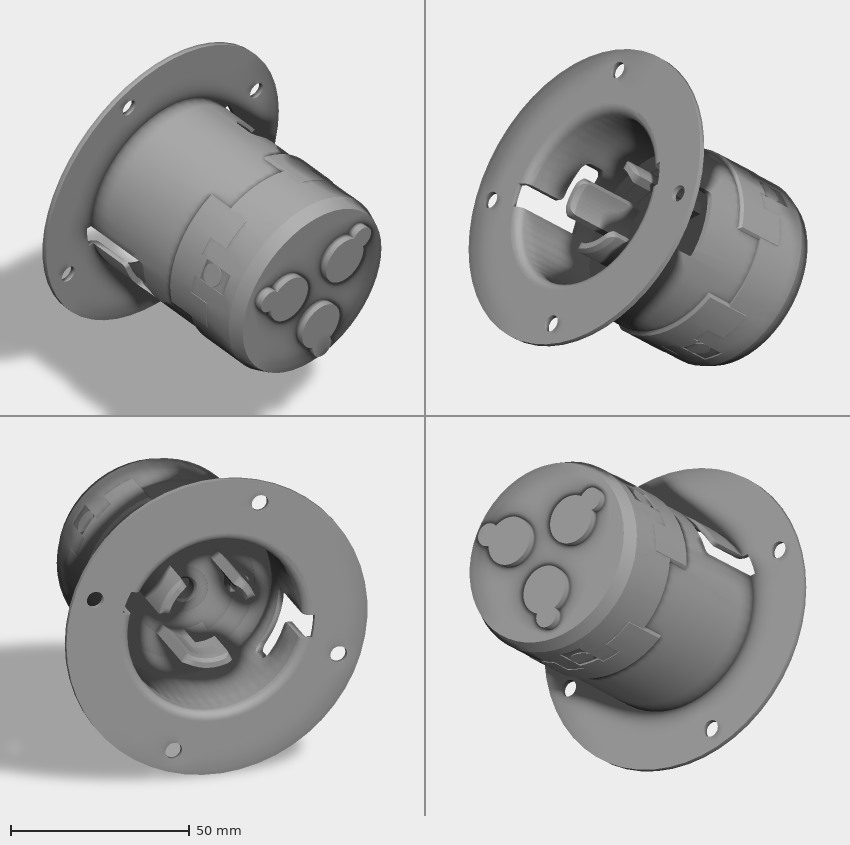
import cadquery as cq
import math


flange_dia = 88.75
flange_thickness = 1.6
bolt_hole_dia = 4.9
bolt_circle_radius = 38.1
bolt_hole_angle = 19.5
bolt_hole_count = 4

shell_dia = 54.6
bore_radius = shell_dia / 2 - flange_thickness
mouth_round = 2.6
floor_x = 29.3
floor_step = 0.2
floor_radius = 25.0
floor_gap_depth = 0.4
ring_radius = 20.5
inner_ring_radius = 14.6
hub_radius = 6.8
hub_hole_radius = 3.1
hub_hole_chamfer = 0.7
hub_hole_depth = 5.3
dimple_radius = 2.2
dimple_angles = (57.0, 222.6)

cap_radius = 28.05
cap_start_x = 43.1
cap_taper_x = 59.4
cap_end_x = 63.5
cap_end_radius = 26.45

station_angles = [34.5 + 120 * i for i in range(3)]

clip_radius = 28.2
clip_start_x = 34.5
clip_end_x = 50.05
clip_half_angle = 39.0
clip_bevel = 0.8
clip_notch_x = 43.7
clip_notch_half_angle = 18.3

window_width = 6.6
window_end_x = 55.5
tongue_end_x = 45.9
window_depth = 0.5
screw_dia = 6.6
screw_x = 49.35
screw_height = 0.3

terminal_end_x = 66.0
wire_boss_radius = 7.1
wire_boss_offset = 12.25
screw_boss_radius = 3.4
screw_boss_offset = 20.3

slot_outer_radius = 28.8
slot_inner_offset = 17.3
slot_top_z = 0.2
slot_channel_width = 6.9
slot_leg_bottom_z = -18.1
slot_leg_start_x = 14.6
slot_end_x = 23.2
slot_leg_round = 2.2
slot_corner_round = 1.3
slot_spacing = 164.8

blade_root_x = 30.2
blade_inner_radius = 11.7
blade_outer_radius = 14.55
blade_corner_round = 2.7
blade_bevel_height = 0.6
blade_bevel_length = 1.8
blades = ((6.6, 10.0, 58.0), (6.2, 130.0, 162.0), (4.4, 243.0, 305.0))
lock_notch_x = 18.6
lock_notch_span = (243.0, 272.0)
foot_tip_x = 24.0
foot_y_range = (-17.0, -11.7)
foot_z_range = (0.0, 3.5)


def turned(shape, angle):
    return shape.rotate((0, 0, 0), (1, 0, 0), angle)


def sector(inner, outer, x_start, x_end, angle_start, angle_end):
    """Annular sector around X between two polar angles."""
    section = (
        cq.Workplane("XY")
        .center(x_start, inner)
        .rect(x_end - x_start, outer - inner, centered=False)
    )
    swept = section.revolve(angle_end - angle_start, (0, -inner), (1, -inner))
    return turned(swept, angle_start)


def disc(radius, x_start, x_end):
    return cq.Workplane("YZ").workplane(offset=x_start).circle(radius).extrude(x_end - x_start)


def polar_discs(radius, offset, angles, x_start, x_end):
    """Discs along X, centred at the given polar angles."""
    points = [
        (offset * math.cos(math.radians(a)), offset * math.sin(math.radians(a))) for a in angles
    ]
    plane = cq.Workplane("YZ").workplane(offset=x_start)
    return plane.pushPoints(points).circle(radius).extrude(x_end - x_start)


def make_body():
    """Flange, shell and cap as one turned shape with a rounded mouth."""
    shell_radius = shell_dia / 2
    round_middle = mouth_round * (1 - math.sqrt(0.5))
    return (
        cq.Workplane("XY")
        .moveTo(0, bore_radius + mouth_round)
        .lineTo(0, flange_dia / 2)
        .lineTo(flange_thickness, flange_dia / 2)
        .lineTo(flange_thickness, shell_radius)
        .lineTo(cap_start_x, shell_radius)
        .lineTo(cap_start_x, cap_radius)
        .lineTo(cap_taper_x, cap_radius)
        .lineTo(cap_end_x, cap_end_radius)
        .lineTo(cap_end_x, 0)
        .lineTo(floor_x, 0)
        .lineTo(floor_x, bore_radius)
        .lineTo(mouth_round, bore_radius)
        .threePointArc((round_middle, bore_radius + round_middle), (0, bore_radius + mouth_round))
        .close()
        .revolve(360, (0, 0), (1, 0))
    )


def make_bolt_holes():
    angles = [bolt_hole_angle + i * 360 / bolt_hole_count for i in range(bolt_hole_count)]
    return polar_discs(bolt_hole_dia / 2, bolt_circle_radius, angles, 0, flange_thickness)


def make_floor_recesses():
    """Concentric steps, rim gap, two rim dimples and the blind centre hole."""
    steps = disc(ring_radius, floor_x, floor_x + floor_step)
    steps = steps.union(disc(inner_ring_radius, floor_x, floor_x + 2 * floor_step))
    steps = steps.union(disc(hub_radius, floor_x, floor_x + 3 * floor_step))
    dimples = polar_discs(dimple_radius, bore_radius, dimple_angles, floor_x, floor_x + floor_step)
    gap = sector(floor_radius, bore_radius, floor_x, floor_x + floor_gap_depth, 0, 360)
    rim_limit = disc(bore_radius, floor_x, floor_x + floor_gap_depth)
    steps = steps.union(dimples.intersect(rim_limit)).union(gap)
    hub_x = floor_x + 3 * floor_step
    hole = (
        cq.Workplane("XY")
        .moveTo(hub_x, 0)
        .lineTo(hub_x, hub_hole_radius + hub_hole_chamfer)
        .lineTo(hub_x + hub_hole_chamfer, hub_hole_radius)
        .lineTo(hub_x + hub_hole_depth, hub_hole_radius)
        .lineTo(hub_x + hub_hole_depth, 0)
        .close()
        .revolve(360, (0, 0), (1, 0))
    )
    return steps.union(hole)


def make_bayonet_slot():
    """L-shaped cut through the -Y side of the shell and the mouth."""
    channel_bottom_z = slot_top_z - slot_channel_width
    channel = (
        cq.Workplane("XZ", origin=(0, -slot_inner_offset, 0))
        .moveTo(0, slot_top_z)
        .lineTo(slot_end_x, slot_top_z)
        .lineTo(slot_end_x, slot_leg_bottom_z)
        .lineTo(slot_leg_start_x, slot_leg_bottom_z)
        .lineTo(slot_leg_start_x, channel_bottom_z)
        .lineTo(0, channel_bottom_z)
        .close()
        .extrude(slot_outer_radius - slot_inner_offset)
    )
    channel = channel.faces("<Z").edges("|Y").fillet(slot_leg_round)
    inner_corner = cq.selectors.NearestToPointSelector(
        (slot_leg_start_x, -(slot_outer_radius + slot_inner_offset) / 2, channel_bottom_z)
    )
    channel = channel.edges(inner_corner).fillet(slot_corner_round)
    channel = channel.faces(">X").edges(">Z").fillet(slot_corner_round)
    return channel.intersect(disc(slot_outer_radius, 0, slot_end_x))


def make_clip():
    """Clip centred on +Y, bevelled along its front and sides and notched at its rear."""
    clip = sector(bore_radius, clip_radius, clip_start_x, clip_end_x, -clip_half_angle, clip_half_angle)
    clip = clip.edges("|X").edges(">Y").chamfer(clip_bevel)
    front_edge = cq.selectors.RadiusNthSelector(-1)
    clip = clip.faces("<X").edges(front_edge).chamfer(clip_bevel)
    notch = sector(
        cap_radius, clip_radius, clip_notch_x, clip_end_x, -clip_notch_half_angle, clip_notch_half_angle
    )
    tongue = (
        cq.Workplane("XY")
        .box(tongue_end_x - clip_notch_x, clip_radius, window_width, centered=(False, False, True))
        .translate((clip_notch_x, 0, 0))
    )
    return clip.cut(notch.cut(tongue))


def make_window():
    """Flat-bottomed pocket on the +Y side, between the clip tongue and the cap taper."""
    length = window_end_x - tongue_end_x
    return (
        cq.Workplane("XZ", origin=(tongue_end_x + length / 2, cap_radius - window_depth, 0))
        .rect(length, window_width)
        .extrude(-2 * window_depth)
    )


def make_screw():
    """Round screw head standing on the floor of the window."""
    return (
        cq.Workplane("XZ", origin=(screw_x, cap_radius - window_depth, 0))
        .circle(screw_dia / 2)
        .extrude(-screw_height)
    )


def make_blade(tip_x, start, end):
    """Curved blade with rounded corners and a bevelled tip, rooted in the floor."""
    blade = sector(blade_inner_radius, blade_outer_radius, tip_x, blade_root_x, start, end)
    blade = blade.faces("<X").edges("%LINE").fillet(blade_corner_round)
    bevelled_ring = (
        cq.Workplane("XY")
        .moveTo(tip_x, blade_inner_radius + blade_bevel_height)
        .lineTo(tip_x + blade_bevel_length, blade_inner_radius)
        .lineTo(blade_root_x, blade_inner_radius)
        .lineTo(blade_root_x, blade_outer_radius)
        .lineTo(tip_x + blade_bevel_length, blade_outer_radius)
        .lineTo(tip_x, blade_outer_radius - blade_bevel_height)
        .close()
        .revolve(360, (0, 0), (1, 0))
    )
    return blade.intersect(bevelled_ring)


def make_lock_foot():
    """Outward foot of the blade on the -Y side."""
    y_start, y_end = foot_y_range
    z_start, z_end = foot_z_range
    return cq.Workplane("XY").box(
        blade_root_x - foot_tip_x, y_end - y_start, z_end - z_start, centered=False
    ).translate((foot_tip_x, y_start, z_start))


def make_lock_notch():
    """Locking notch in the side of the lowest blade."""
    start, end = lock_notch_span
    return sector(blade_inner_radius, blade_outer_radius, lock_notch_x, floor_x, start, end)


body = make_body().cut(make_bolt_holes()).cut(make_floor_recesses())
for slot_angle in (0, -slot_spacing):
    body = body.cut(turned(make_bayonet_slot(), slot_angle))

for tip_x, start, end in blades:
    body = body.union(make_blade(tip_x, start, end))
body = body.union(make_lock_foot()).cut(make_lock_notch())

for station_angle in station_angles:
    body = body.union(turned(make_clip(), station_angle))
    body = body.cut(turned(make_window(), station_angle))
    body = body.union(turned(make_screw(), station_angle))

body = body.union(
    polar_discs(wire_boss_radius, wire_boss_offset, station_angles, cap_end_x, terminal_end_x)
)
body = body.union(
    polar_discs(screw_boss_radius, screw_boss_offset, station_angles, cap_end_x, terminal_end_x)
)

result = body